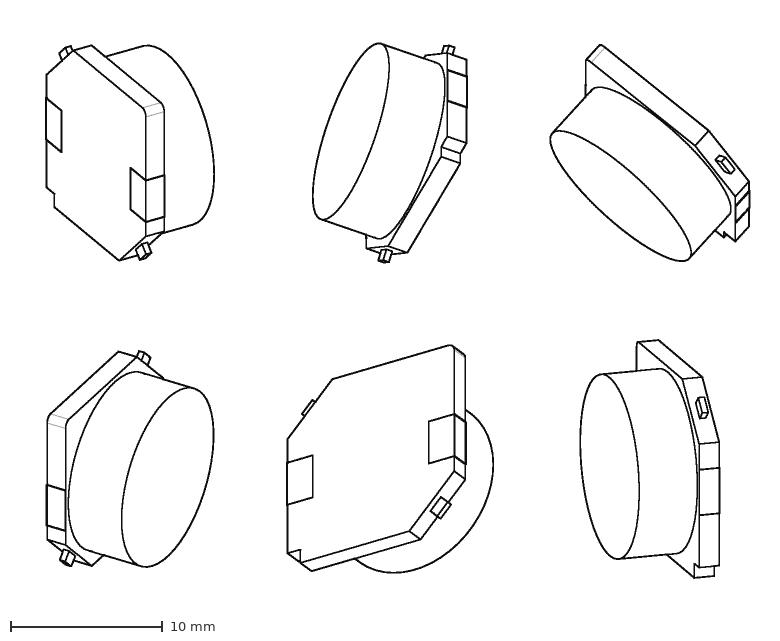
import cadquery as cq
import math

OVERALL_LENGTH = 13.1
OVERALL_DEPTH = 5.48
TERMINAL_SIDE_THICKNESS = 0.05
TERMINAL_FRONT_THICKNESS = 0.03
BASE_SIDE = OVERALL_LENGTH - 2 * TERMINAL_SIDE_THICKNESS
BASE_THICKNESS = 1.4
CORNER_CUT = 3.5
CORNER_NOTCH = 1.0
CORNER_RADIUS = 0.46

HOUSING_DIAMETER = 12.26
HOUSING_LENGTH = OVERALL_DEPTH - TERMINAL_FRONT_THICKNESS - BASE_THICKNESS

TERMINAL_REACH = 2.03
TERMINAL_WIDTH = 3.13
TERMINAL_CENTER_Z = -0.33

TAB_WIDTH = 1.17
TAB_LENGTH = 0.75
TAB_THICKNESS = 0.42

HALF_SIDE = BASE_SIDE / 2


def make_base():
    """Square plate with two cut corners, one notched corner and one rounded corner."""
    notch_edge = -HALF_SIDE + CORNER_NOTCH
    cut_edge = HALF_SIDE - CORNER_CUT
    arc_start = HALF_SIDE - CORNER_RADIUS
    arc_middle = arc_start + CORNER_RADIUS * math.sqrt(0.5)
    return (
        cq.Workplane("XZ", origin=(0, BASE_THICKNESS, 0))
        .moveTo(notch_edge, -HALF_SIDE)
        .lineTo(cut_edge, -HALF_SIDE)
        .lineTo(HALF_SIDE, -cut_edge)
        .lineTo(HALF_SIDE, arc_start)
        .threePointArc((arc_middle, arc_middle), (arc_start, HALF_SIDE))
        .lineTo(-cut_edge, HALF_SIDE)
        .lineTo(-HALF_SIDE, cut_edge)
        .lineTo(-HALF_SIDE, notch_edge)
        .lineTo(notch_edge, notch_edge)
        .close()
        .extrude(BASE_THICKNESS)
    )


def make_housing():
    """Plain cylinder standing on the back face of the base."""
    return (
        cq.Workplane("XZ", origin=(0, BASE_THICKNESS + HOUSING_LENGTH, 0))
        .circle(HOUSING_DIAMETER / 2)
        .extrude(HOUSING_LENGTH)
    )


def make_terminal(side):
    """L-shaped strip on the front face and side edge; side is -1 for left, 1 for right."""
    outer_x = side * OVERALL_LENGTH / 2
    edge_x = side * HALF_SIDE
    inner_x = side * (OVERALL_LENGTH / 2 - TERMINAL_REACH)
    return (
        cq.Workplane("XY", origin=(0, 0, TERMINAL_CENTER_Z - TERMINAL_WIDTH / 2))
        .moveTo(inner_x, -TERMINAL_FRONT_THICKNESS)
        .lineTo(outer_x, -TERMINAL_FRONT_THICKNESS)
        .lineTo(outer_x, BASE_THICKNESS)
        .lineTo(edge_x, BASE_THICKNESS)
        .lineTo(edge_x, 0)
        .lineTo(inner_x, 0)
        .close()
        .extrude(TERMINAL_WIDTH)
    )


def make_tab(side):
    """Block at the middle of a cut corner; side is -1 for upper left, 1 for lower right."""
    cut_distance = (BASE_SIDE - CORNER_CUT) / math.sqrt(2)
    return (
        cq.Workplane("XY")
        .box(TAB_LENGTH, TAB_THICKNESS, TAB_WIDTH)
        .translate((side * (cut_distance + TAB_LENGTH / 2), BASE_THICKNESS / 2, 0))
        .rotate((0, 0, 0), (0, 1, 0), 45)
    )


base = make_base()
housing = make_housing()
SIDES = (-1, 1)
terminals = [make_terminal(side).val() for side in SIDES]
tabs = [make_tab(side).val() for side in SIDES]

result = cq.Compound.makeCompound([base.val(), housing.val(), *terminals, *tabs])